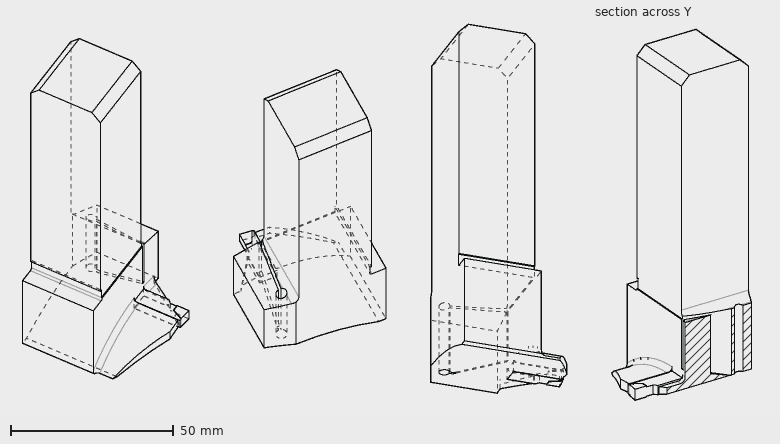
import cadquery as cq
import math

TOTAL_HEIGHT = 112.6

SHANK_SIDE = 24.9
SHANK_FRONT_Y = 5.0
SHANK_BACK_Y = SHANK_FRONT_Y + SHANK_SIDE
SHANK_CHAMFER = 3.0

HEAD_WIDTH = 25.2
HEAD_DEPTH = 40.1
HEAD_LEDGE_Z = 28.6
HEAD_SIDE_TOP_Z = 29.3
HEAD_BACK_Z = 27.0
SHOULDER_ANGLE = 15.0
SHOULDER_FILLET = 3.0
CORNER_CUT_X = 3.4
CORNER_CUT_Y = 9.2

GROOVE_FLOOR_Y = 5.5
GROOVE_TOP_Z = 32.7
GROOVE_FILLET = 0.7

UNDERSIDE_START_Y = 2.5
UNDERSIDE_CREST_Y = 32.1
UNDERSIDE_CREST_Z = 6.1
UNDERSIDE_BACK_Z = 5.5

BLADE_CREST_Y = 25.9
BLADE_CREST_Z = 9.0
BLADE_FRONT_Y = 1.0
BLADE_FRONT_X = 31.1
BLADE_TIP_X = 40.9
BLADE_TIP_Y = 20.2
BLADE_BACK_Y = 37.5
BLADE_ROOT_FILLET = 1.7

BOTTOM_STOCK = 2.3

HOLE_X = 5.4
HOLE_Y = 33.2
HOLE_DIAMETER = 3.4
SLIT_WIDTH = 0.9
SLIT_END_Y = 30.9
SLIT_FLOOR_Z = 5.6
SLIT_FLOOR_ANGLE = 20.0

INSERT_FRONT_Y = 25.2
INSERT_BACK_Y = 31.1
INSERT_RAKE_Y = 30.0
INSERT_RAKE_START_X = 35.4
INSERT_BODY_END_X = 41.6
INSERT_BOTTOM_Z = 6.0
INSERT_TOP_Z = 9.2
TIP_START_X = 37.7
TIP_END_X = 42.0
TIP_SIDE_Y = 27.8
TIP_FRONT_Y = 25.9
TIP_BOTTOM_Z = 5.7
TIP_TOP_Z = 9.6


def box(x0, x1, y0, y1, z0, z1):
    """Box between two corner points."""
    return cq.Workplane("XY").box(x1 - x0, y1 - y0, z1 - z0, centered=False).translate((x0, y0, z0))


def plan_prism(points, z0, z1):
    """Vertical prism with the given XY outline."""
    return cq.Workplane("XY").workplane(offset=z0).polyline(points).close().extrude(z1 - z0)


def make_body():
    """Shank and head as one side profile, drawn in YZ and extruded along X."""
    shoulder_rise = (HEAD_DEPTH - SHANK_BACK_Y) * math.tan(math.radians(SHOULDER_ANGLE))
    shoulder_z = HEAD_BACK_Z + shoulder_rise
    body = (
        cq.Workplane("YZ")
        .moveTo(0, -BOTTOM_STOCK)
        .lineTo(0, HEAD_LEDGE_Z)
        .lineTo(GROOVE_FLOOR_Y, HEAD_LEDGE_Z)
        .lineTo(GROOVE_FLOOR_Y, GROOVE_TOP_Z)
        .lineTo(SHANK_FRONT_Y, GROOVE_TOP_Z)
        .lineTo(SHANK_FRONT_Y, TOTAL_HEIGHT)
        .lineTo(SHANK_BACK_Y, TOTAL_HEIGHT)
        .lineTo(SHANK_BACK_Y, shoulder_z)
        .lineTo(HEAD_DEPTH, HEAD_BACK_Z)
        .lineTo(HEAD_DEPTH, -BOTTOM_STOCK)
        .close()
        .extrude(HEAD_WIDTH)
    )
    body = body.edges(
        cq.NearestToPointSelector((HEAD_WIDTH / 2, SHANK_BACK_Y, shoulder_z))
    ).fillet(SHOULDER_FILLET)
    body = body.edges(
        cq.NearestToPointSelector((HEAD_WIDTH / 2, GROOVE_FLOOR_Y, HEAD_LEDGE_Z))
    ).fillet(GROOVE_FILLET)

    body = body.cut(box(SHANK_SIDE, HEAD_WIDTH, 0, HEAD_DEPTH, HEAD_SIDE_TOP_Z, TOTAL_HEIGHT))
    body = body.faces(">Z").edges("|Y").chamfer(SHANK_CHAMFER)

    corner = [(0, HEAD_DEPTH), (CORNER_CUT_X, HEAD_DEPTH), (0, HEAD_DEPTH - CORNER_CUT_Y)]
    return body.cut(plan_prism(corner, -BOTTOM_STOCK, TOTAL_HEIGHT))


def make_blade():
    """Arched blade standing out from the +X side of the head, trimmed to its plan outline."""
    half_span = BLADE_CREST_Y - BLADE_FRONT_Y
    top_radius = (half_span**2 + BLADE_CREST_Z**2) / (2 * BLADE_CREST_Z)

    def top_z(y):
        drop = top_radius - math.sqrt(top_radius**2 - (y - BLADE_CREST_Y) ** 2)
        return BLADE_CREST_Z - drop

    inner_x = HEAD_WIDTH / 2

    section = (
        cq.Workplane("YZ")
        .workplane(offset=inner_x)
        .moveTo(0, -BOTTOM_STOCK)
        .lineTo(0, top_z(0))
        .threePointArc((BLADE_CREST_Y, BLADE_CREST_Z), (BLADE_BACK_Y, top_z(BLADE_BACK_Y)))
        .lineTo(BLADE_BACK_Y, -BOTTOM_STOCK)
        .close()
        .extrude(BLADE_TIP_X - inner_x)
    )
    outline = [
        (inner_x, 0),
        (BLADE_FRONT_X, 0),
        (BLADE_TIP_X, BLADE_TIP_Y),
        (BLADE_TIP_X, INSERT_FRONT_Y),
        (INSERT_RAKE_START_X, INSERT_RAKE_Y),
        (HEAD_WIDTH, BLADE_BACK_Y),
        (inner_x, BLADE_BACK_Y),
    ]
    return section.intersect(plan_prism(outline, -BOTTOM_STOCK, TOTAL_HEIGHT))


def make_underside_cutter():
    """Concave arc below the head and blade."""
    return (
        cq.Workplane("YZ")
        .moveTo(UNDERSIDE_START_Y, 0)
        .threePointArc((UNDERSIDE_CREST_Y, UNDERSIDE_CREST_Z), (HEAD_DEPTH, UNDERSIDE_BACK_Z))
        .lineTo(HEAD_DEPTH, 0)
        .close()
        .extrude(BLADE_TIP_X)
    )


def make_clamp_cutter():
    """Round hole with a straight, sloping-floored slit running to the +X side of the head."""
    hole = cq.Workplane("XY").center(HOLE_X, HOLE_Y).circle(HOLE_DIAMETER / 2).extrude(TOTAL_HEIGHT)
    half = SLIT_WIDTH / 2
    slit = [
        (HOLE_X, HOLE_Y - half),
        (HEAD_WIDTH, SLIT_END_Y - half),
        (HEAD_WIDTH, SLIT_END_Y + half),
        (HOLE_X, HOLE_Y + half),
    ]
    floor_start_x = HOLE_X + HOLE_DIAMETER / 2
    floor_rise = (HEAD_WIDTH - floor_start_x) * math.tan(math.radians(SLIT_FLOOR_ANGLE))
    floor_profile = [
        (HOLE_X, TOTAL_HEIGHT),
        (HOLE_X, SLIT_FLOOR_Z),
        (floor_start_x, SLIT_FLOOR_Z),
        (HEAD_WIDTH, SLIT_FLOOR_Z + floor_rise),
        (HEAD_WIDTH, TOTAL_HEIGHT),
    ]
    above_floor = cq.Workplane("XZ").polyline(floor_profile).close().extrude(-HEAD_DEPTH)
    return hole.union(plan_prism(slit, 0, TOTAL_HEIGHT).intersect(above_floor))


def make_holder():
    holder = make_body().union(make_blade())
    root_point = (HEAD_WIDTH, BLADE_CREST_Y, BLADE_CREST_Z)
    holder = holder.edges(cq.NearestToPointSelector(root_point)).fillet(BLADE_ROOT_FILLET)
    holder = holder.cut(box(0, TIP_END_X, 0, HEAD_DEPTH, -BOTTOM_STOCK, 0))
    holder = holder.cut(make_underside_cutter())
    holder = holder.cut(make_clamp_cutter())
    seat = box(HEAD_WIDTH, TIP_END_X, INSERT_FRONT_Y, INSERT_BACK_Y, 0, HEAD_SIDE_TOP_Z)
    return holder.cut(seat)


def make_insert():
    """Insert bar filling the blade's slot, with a wider cutting tip at its free end."""
    bar = [
        (HEAD_WIDTH, INSERT_FRONT_Y),
        (INSERT_BODY_END_X, INSERT_FRONT_Y),
        (INSERT_BODY_END_X, INSERT_RAKE_Y),
        (INSERT_RAKE_START_X, INSERT_RAKE_Y),
        (INSERT_RAKE_START_X - (INSERT_BACK_Y - INSERT_RAKE_Y), INSERT_BACK_Y),
        (HEAD_WIDTH, INSERT_BACK_Y),
    ]
    tip = [
        (TIP_START_X, INSERT_RAKE_Y),
        (TIP_START_X, TIP_SIDE_Y),
        (INSERT_BODY_END_X, TIP_FRONT_Y),
        (TIP_END_X, INSERT_RAKE_Y),
    ]
    body = plan_prism(bar, INSERT_BOTTOM_Z, INSERT_TOP_Z)
    return body.union(plan_prism(tip, TIP_BOTTOM_Z, TIP_TOP_Z))


holder = make_holder()
insert = make_insert()
result = cq.Compound.makeCompound([holder.val(), insert.val()])